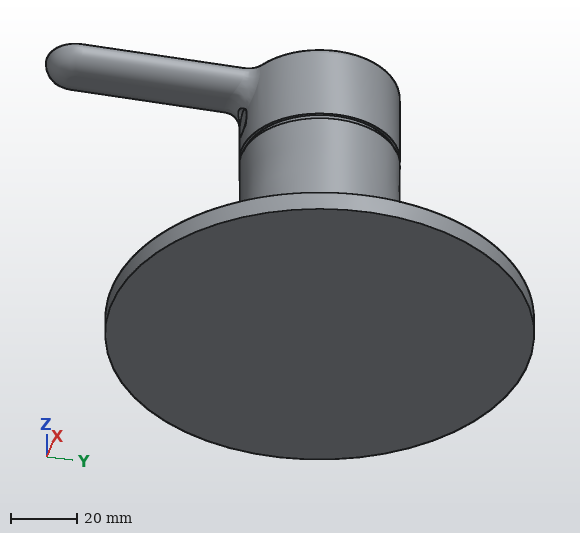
import cadquery as cq

plate_diameter = 130.0
plate_radius = plate_diameter / 2
plate_rim_height = 6.6
plate_center_height = 7.2
plate_edge_round = 1.0

body_base_radius = 24.6
body_top_radius = 24.3
shoulder_height = 63.1
shoulder_inset = 0.9
neck_radius = body_top_radius - shoulder_inset
head_base_height = 64.9

head_radius = 24.3
total_height = 89.7
top_edge_round = 2.3
total_length = 150.2
lever_reach = total_length - plate_radius
lever_width = 17.9
lever_thickness = 8.7
lever_under_round = 6.3
lever_blend = 4.8

marker_radius = 4.4
marker_height = 74.7
marker_depth = 0.5


def make_plate_and_body():
    plate = (
        cq.Workplane("XZ")
        .lineTo(plate_radius, 0)
        .lineTo(plate_radius, plate_rim_height)
        .lineTo(body_base_radius, plate_center_height)
        .lineTo(0, plate_center_height)
        .close()
        .revolve(360, (0, 0, 0), (0, 1, 0))
    )
    upper_rim = plate.edges("not(<Z)").edges(cq.selectors.RadiusNthSelector(-1))
    plate = upper_rim.fillet(plate_edge_round)
    body = (
        cq.Workplane("XZ")
        .lineTo(body_base_radius, 0)
        .lineTo(body_base_radius, plate_center_height)
        .lineTo(body_top_radius, shoulder_height)
        .lineTo(neck_radius, head_base_height)
        .lineTo(0, head_base_height)
        .close()
        .revolve(360, (0, 0, 0), (0, 1, 0))
    )
    return plate.union(body)


def make_lever():
    half_width = lever_width / 2
    tip_center_y = half_width - lever_reach
    return (
        cq.Workplane("XY", origin=(0, 0, total_height - lever_thickness))
        .moveTo(-half_width, 0)
        .lineTo(-half_width, tip_center_y)
        .threePointArc((0, -lever_reach), (half_width, tip_center_y))
        .lineTo(half_width, 0)
        .close()
        .extrude(lever_thickness)
        .edges("<Z and (not >Y)")
        .fillet(lever_under_round)
    )


def make_head():
    head = (
        cq.Workplane("XY", origin=(0, 0, head_base_height))
        .circle(head_radius)
        .extrude(total_height - head_base_height)
        .union(make_lever())
    )
    root_middle_z = total_height - lever_thickness / 2
    root_zone = cq.selectors.BoxSelector(
        (-lever_width, -head_radius - lever_blend, root_middle_z - lever_thickness),
        (lever_width, -head_radius + lever_blend, total_height - top_edge_round / 2),
    )
    head = head.edges(root_zone).fillet(lever_blend)
    return head.faces(">Z").edges().fillet(top_edge_round)


def cut_marker(head):
    marker = (
        cq.Workplane("XZ", origin=(0, marker_depth - head_radius, marker_height))
        .circle(marker_radius)
        .extrude(lever_blend)
    )
    return head.cut(marker)


result = make_plate_and_body().union(cut_marker(make_head()))